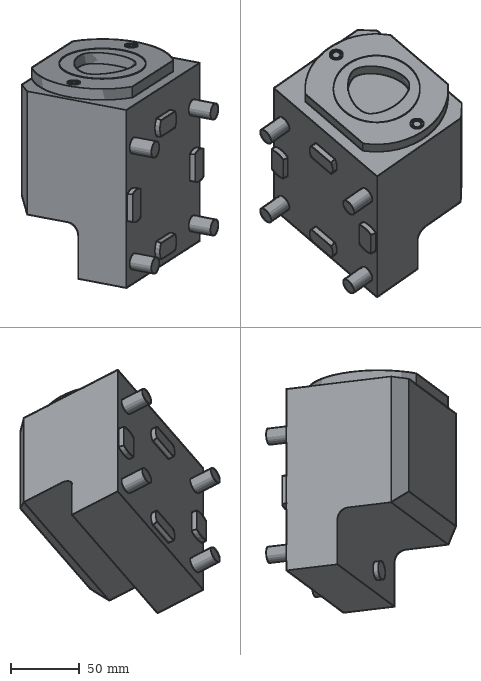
import cadquery as cq
import math

BODY_LENGTH = 92.0
BODY_WIDTH = 112.0
TOTAL_HEIGHT = 147.0
BODY_CHAMFER = 10.0

FLANGE_HEIGHT = 8.5
RING_HEIGHT = 0.5
FLANGE_TOP = TOTAL_HEIGHT - RING_HEIGHT
BODY_HEIGHT = FLANGE_TOP - FLANGE_HEIGHT
SPINDLE_SETBACK = 41.9
SPINDLE_X = SPINDLE_SETBACK - BODY_LENGTH
FLANGE_RADIUS = 52.0
FLANGE_HALF_LENGTH = 41.6
RING_RADIUS = 31.5
SOCKET_RADIUS = 22.3
SOCKET_LOBE = 1.8
SOCKET_DEPTH = 8.5
SOCKET_POINTS = 36

PORT_OFFSET = 43.8
SEAL_BASE_RADIUS = 4.9
SEAL_RIM_RADIUS = 3.5
PORT_FLOOR_RADIUS = 3.0
PORT_DEPTH = 0.9

FOOT_LENGTH = 40.0
FOOT_HEIGHT = 42.3
STEP_FILLET = 8.5

STUD_RADIUS = 6.9
STUD_LENGTH = 4.0
STUD_Y = -20.6
STUD_Z = 17.0

FACE_CENTER_Z = 62.0
BOLT_SPACING = 90.0
BOLT_RADIUS = 6.0
BOLT_LENGTH = 18.0
KEY_REACH = 54.5
KEY_DISC_RADIUS = 12.5
KEY_THICKNESS = 13.8
KEY_HEIGHT = 4.1
KEY_BEVEL_HEIGHT = 2.6
KEY_BEVEL_INSET = 0.6


def make_body():
    """Chamfered block with the filleted step below its overhang."""
    block = (
        cq.Workplane("XY")
        .box(BODY_LENGTH, BODY_WIDTH, BODY_HEIGHT, centered=(False, True, False))
        .translate((-BODY_LENGTH, 0, 0))
        .edges("|Z and <X")
        .chamfer(BODY_CHAMFER)
    )
    step = (
        cq.Workplane("XZ")
        .moveTo(-BODY_LENGTH, 0)
        .lineTo(-FOOT_LENGTH, 0)
        .lineTo(-FOOT_LENGTH, FOOT_HEIGHT - STEP_FILLET)
        .radiusArc((-FOOT_LENGTH - STEP_FILLET, FOOT_HEIGHT), -STEP_FILLET)
        .lineTo(-BODY_LENGTH + BODY_CHAMFER, FOOT_HEIGHT)
        .lineTo(-BODY_LENGTH, FOOT_HEIGHT + BODY_CHAMFER)
        .close()
        .extrude(BODY_WIDTH / 2, both=True)
    )
    return block.cut(step)


def make_flange():
    """Round flange with two flats, carrying the low centring ring."""
    flats = cq.Workplane("XY").box(
        2 * FLANGE_HALF_LENGTH, 2 * FLANGE_RADIUS, FLANGE_HEIGHT, centered=(True, True, False)
    )
    flange = cq.Workplane("XY").circle(FLANGE_RADIUS).extrude(FLANGE_HEIGHT).intersect(flats)
    ring = cq.Workplane("XY").circle(RING_RADIUS).extrude(FLANGE_HEIGHT + RING_HEIGHT)
    return flange.union(ring).translate((SPINDLE_X, 0, BODY_HEIGHT))


def socket_point(angle):
    """Point of a constant-width three-lobed curve with one lobe toward -Y."""
    reach = SOCKET_RADIUS + SOCKET_LOBE * math.sin(3 * angle)
    slope = 3 * SOCKET_LOBE * math.cos(3 * angle)
    return (
        reach * math.cos(angle) - slope * math.sin(angle),
        reach * math.sin(angle) + slope * math.cos(angle),
    )


def make_socket():
    """Three-lobed pocket sunk from the top of the centring ring."""
    outline = [socket_point(2 * math.pi * i / SOCKET_POINTS) for i in range(SOCKET_POINTS)]
    return (
        cq.Workplane("XY", origin=(SPINDLE_X, 0, TOTAL_HEIGHT - SOCKET_DEPTH))
        .spline(outline, periodic=True)
        .close()
        .extrude(SOCKET_DEPTH)
    )


def make_port_cone(side, base_z, base_radius, top_radius):
    """Truncated cone on a port axis, rising from base_z to the top of the part."""
    return (
        cq.Workplane("XY", origin=(SPINDLE_X, side * PORT_OFFSET, base_z))
        .circle(base_radius)
        .workplane(offset=TOTAL_HEIGHT - base_z)
        .circle(top_radius)
        .loft()
    )


def make_seal(side):
    """Low conical seal collar standing on the flange."""
    return make_port_cone(side, FLANGE_TOP, SEAL_BASE_RADIUS, SEAL_RIM_RADIUS)


def make_port(side):
    """Shallow port that narrows downward inside a seal collar."""
    return make_port_cone(side, TOTAL_HEIGHT - PORT_DEPTH, PORT_FLOOR_RADIUS, SEAL_RIM_RADIUS)


def make_stud():
    """Round stud standing out of the foot toward -X."""
    return (
        cq.Workplane("YZ", origin=(-FOOT_LENGTH - STUD_LENGTH, STUD_Y, STUD_Z))
        .circle(STUD_RADIUS)
        .extrude(STUD_LENGTH)
    )


def make_bolts():
    """Four bolts in a square on the mounting face."""
    return (
        cq.Workplane("YZ", origin=(0, 0, FACE_CENTER_Z))
        .rect(BOLT_SPACING, BOLT_SPACING, forConstruction=True)
        .vertices()
        .circle(BOLT_RADIUS)
        .extrude(BOLT_LENGTH)
    )


def make_key(angle):
    """Driving key with round ends and bevelled long sides, turned about the face centre."""
    inner = KEY_REACH - KEY_THICKNESS
    bevel_start = KEY_HEIGHT - KEY_BEVEL_HEIGHT
    profile = (
        cq.Workplane("XZ")
        .moveTo(0, inner)
        .lineTo(bevel_start, inner)
        .lineTo(KEY_HEIGHT, inner + KEY_BEVEL_INSET)
        .lineTo(KEY_HEIGHT, KEY_REACH - KEY_BEVEL_INSET)
        .lineTo(bevel_start, KEY_REACH)
        .lineTo(0, KEY_REACH)
        .close()
        .extrude(KEY_DISC_RADIUS, both=True)
    )
    disc = (
        cq.Workplane("YZ")
        .center(0, KEY_REACH - KEY_THICKNESS / 2)
        .circle(KEY_DISC_RADIUS)
        .extrude(KEY_HEIGHT)
    )
    key = profile.intersect(disc).rotate((0, 0, 0), (1, 0, 0), angle)
    return key.translate((0, 0, FACE_CENTER_Z))


result = make_body().union(make_flange()).union(make_stud()).union(make_bolts())

for key_angle in (0, 90, 180, 270):
    result = result.union(make_key(key_angle))

for port_side in (1, -1):
    result = result.union(make_seal(port_side)).cut(make_port(port_side))

result = result.cut(make_socket())